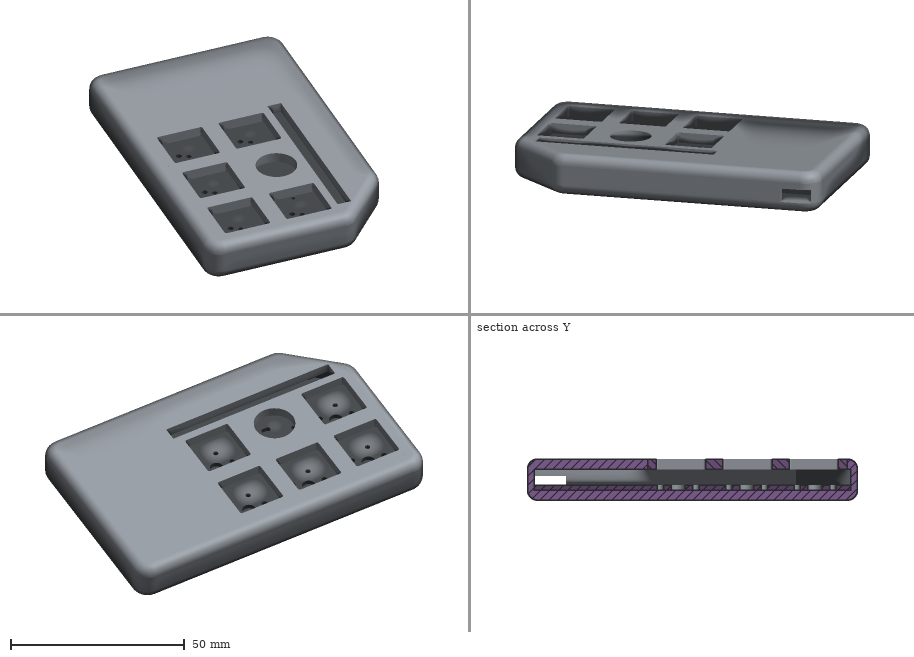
import cadquery as cq
length = 95.0
width = 60.0
height = 12.0
corner_radius = 5.0
rim_radius = 3.0
wall = 2.1
floor_thickness = 3.0
bevel_x = 16.9
bevel_y = 15.2

plate_length = 57.2
plate_width = 37.8
plate_thickness = 3.0
plate_x = 15.8
plate_y = -6.1
key_pitch = 19.1
key_opening = 14.1
key_opening_radius = 0.6
knob_bore = 12.0
knob_y = 4.0

board_thickness = 1.4
board_back_y = 20.5
switch_pitch_x = 19.7
switch_x = 15.6
switch_y = -6.65
stem_bore = 4.0
post_bore = 1.7
post_offset = 5.1
pin_bore = 1.5
pin_places = [(-3.8, 2.6), (2.6, 5.1)]
knob_slot_length = 2.8
knob_slot_width = 1.5
knob_slot_offset = 5.6
knob_board_y = 3.5
knob_pin_bore = 1.0
knob_pin_offset_x = 7.3
knob_pin_offset_y = 2.7

channel_length = 53.3
channel_width = 4.2

port_width = 9.0
port_height = 4.0

plate_bottom = height - plate_thickness
plate_left = plate_x - plate_length / 2
plate_back = plate_y + plate_width / 2


def box_on(bottom, x_size, y_size, z_size, x, y):
    """Box centred on (x, y) that stands on the level `bottom`."""
    return cq.Workplane("XY", origin=(x, y, bottom)).box(x_size, y_size, z_size, centered=(True, True, False))


def key_grid(centre_x, centre_y, pitch_x, pitch_y):
    """Centres of a 3 x 2 grid, without the back middle place that the knob takes."""
    return [
        (centre_x + column * pitch_x, centre_y + row * pitch_y / 2)
        for row in (-1, 1)
        for column in (-1, 0, 1)
        if (column, row) != (0, 1)
    ]


def bevelled_prism(inset, bottom, top):
    """Rectangle with its back right corner bevelled, moved inwards by `inset` on every side."""
    half_length = length / 2
    half_width = width / 2
    outline = [
        (-half_length, -half_width),
        (half_length, -half_width),
        (half_length, half_width - bevel_y),
        (half_length - bevel_x, half_width),
        (-half_length, half_width),
    ]
    profile = cq.Workplane("XY", origin=(0, 0, bottom)).polyline(outline).close()
    if inset > 0:
        profile = profile.offset2D(-inset)
    return profile.extrude(top - bottom)


def make_plate_blank():
    """Plate without openings, which is also the window it fills in the roof of the housing."""
    return box_on(plate_bottom, plate_length, plate_width, plate_thickness, plate_x, plate_y)


def make_housing():
    block = bevelled_prism(0, 0, height).edges("|Z").fillet(corner_radius)
    block = block.faces("<Z or >Z").edges().fillet(rim_radius)
    cavity = bevelled_prism(wall, floor_thickness, plate_bottom)
    channel = box_on(
        plate_bottom,
        channel_length,
        channel_width,
        plate_thickness,
        plate_left + channel_length / 2,
        plate_back + channel_width / 2,
    )
    port = box_on(
        floor_thickness,
        port_width,
        wall,
        port_height,
        -length / 2 + wall + port_width / 2,
        width / 2 - wall / 2,
    )
    return block.cut(make_plate_blank()).cut(cavity).cut(channel).cut(port)


def make_plate():
    places = key_grid(plate_x, plate_y, key_pitch, key_pitch)
    openings = (
        cq.Workplane("XY", origin=(0, 0, plate_bottom))
        .pushPoints(places)
        .rect(key_opening, key_opening)
        .extrude(plate_thickness)
        .edges("|Z")
        .fillet(key_opening_radius)
    )
    bore = (
        cq.Workplane("XY", origin=(0, 0, plate_bottom))
        .center(switch_x, knob_y)
        .circle(knob_bore / 2)
        .extrude(plate_thickness)
    )
    return make_plate_blank().cut(openings).cut(bore)


def drill(board, places, diameter):
    """Board with through holes of one diameter at the given places."""
    drills = (
        cq.Workplane("XY", origin=(0, 0, floor_thickness))
        .pushPoints(places)
        .circle(diameter / 2)
        .extrude(board_thickness)
    )
    return board.cut(drills)


def make_board():
    blank_width = board_back_y + width / 2
    board = bevelled_prism(wall, floor_thickness, floor_thickness + board_thickness).intersect(
        box_on(floor_thickness, length, blank_width, board_thickness, 0, board_back_y - blank_width / 2)
    )
    for x, y in key_grid(switch_x, switch_y, switch_pitch_x, key_pitch):
        board = drill(board, [(x, y)], stem_bore)
        board = drill(board, [(x - post_offset, y), (x + post_offset, y)], post_bore)
        board = drill(board, [(x + pin_x, y + pin_y) for pin_x, pin_y in pin_places], pin_bore)
    board = drill(board, [(switch_x + knob_pin_offset_x, knob_board_y + knob_pin_offset_y)], knob_pin_bore)
    knob_slots = (
        cq.Workplane("XY", origin=(0, 0, floor_thickness))
        .pushPoints([(switch_x, knob_board_y + side * knob_slot_offset) for side in (-1, 1)])
        .slot2D(knob_slot_length, knob_slot_width)
        .extrude(board_thickness)
    )
    return board.cut(knob_slots)


housing = make_housing()
plate = make_plate()
board = make_board()

result = cq.Compound.makeCompound([housing.val(), plate.val(), board.val()])